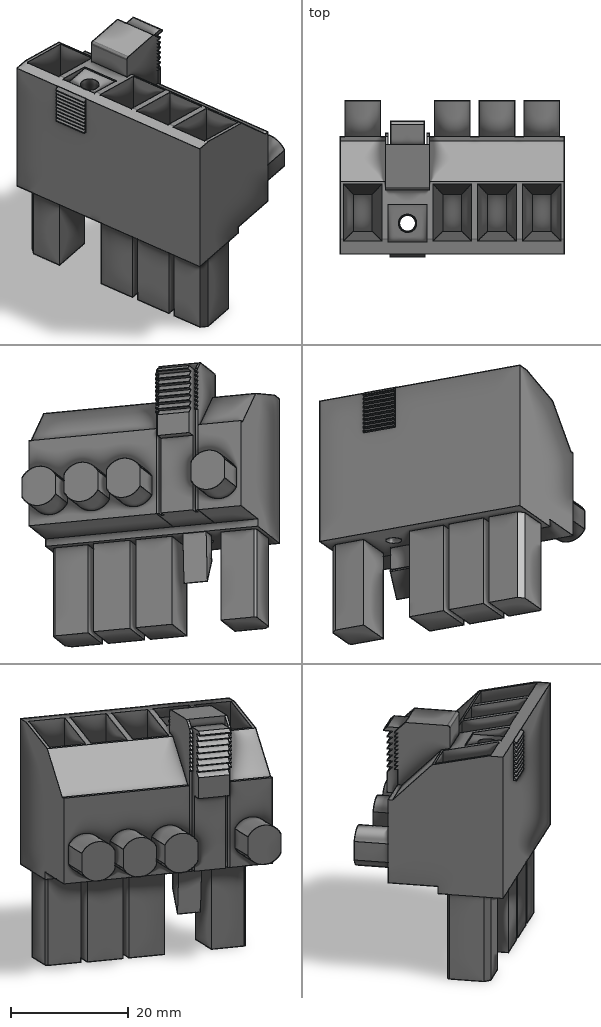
import cadquery as cq

PITCH = 7.6
LATCH_X = -PITCH
WIRE_POSITIONS = [-2 * PITCH, 0, PITCH, 2 * PITCH]

HOUSING_WIDTH = 38.1
HOUSING_DEPTH = 20.0
HOUSING_HEIGHT = 25.5
REAR_UNDERSIDE_Z = 1.3
UNDERSIDE_STEP_Y = 11.3
SHELF_Z = 16.3
SHELF_Y = 19.2
SLOPE_BREAK_Y = 12.35
SLOPE_BREAK_Z = 23.15
TOP_FLAT_Y = 2.55

WELL_WIDTH = 6.55
WELL_FRONT_Y = 2.25
WELL_BACK_Y = 11.95
WELL_TAPER_Z = 15.1
WELL_FLOOR_Z = 12.25
WELL_FLOOR_WIDTH = 3.2
WELL_FLOOR_FRONT_Y = 3.9
WELL_FLOOR_BACK_Y = 10.15

RECESS_FRONT_Y = 2.05
RECESS_LENGTH = 6.35
RECESS_FLOOR_Z = 23.8
HOLE_TOP_DIAMETER = 3.1
HOLE_BOTTOM_DIAMETER = 2.68

LEG_WIDTH = 6.5
LEG_LENGTH = 15.55
LEG_FRONT_Y = 2.5
LEG_BACK_Y = 10.2
OUTER_LEG_BACK_Y = 9.9
OUTER_LEG_EDGE_X = 18.3
OUTER_LEG_FRONT_CHAMFER = 0.95
OUTER_LEG_BACK_CHAMFER = 0.4

FINE_TOOTH_COUNT = 10
FINE_TOOTH_PITCH = 0.75
FINE_TOOTH_LAND = 0.15
GRIP_WIDTH = 5.95
GRIP_TOOTH_DEPTH = 0.5
GRIP_LOWEST_Z = 18.3
CHEEK_TOOTH_DEPTH = 0.55
CHEEK_LOWEST_Z = 19.0

LATCH_WIDTH = 7.42
LATCH_FRONT_Y = 10.9
LATCH_TOP_Z = 27.6
LATCH_TOP_FILLET = 0.45
LATCH_BEVEL_Y = 18.65
LATCH_BEVEL_Z = 26.3
CHEEK_THICKNESS = 0.45
BUTTON_WIDTH = 5.7
BUTTON_BACK_Y = 22.0
BUTTON_TOP_Z = 26.28
BUTTON_BOTTOM_Z = 14.45
BUTTON_LIP = 0.6
BUTTON_LIP_LAND = 0.17
BUTTON_NOTCH_COUNT = 7
BUTTON_NOTCH_PITCH = 1.1
BUTTON_NOTCH_DEPTH = 0.95
BUTTON_FIRST_NOTCH_Z = 25.55
TONGUE_BACK_Y = 20.15

HOOK_WIDTH = 4.2
HOOK_FRONT_Y = 8.2
HOOK_BACK_Y = 11.05
HOOK_ROOT_Z = 2.6
HOOK_TIP_Y = 10.45
HOOK_TIP_Z = -8.65
HOOK_NOSE_Y = 8.03
HOOK_NOSE_TOP_Z = -4.0
HOOK_NOSE_BOTTOM_Z = -4.35

SLEEVE_DIAMETER = 6.9
SLEEVE_WIDTH = 6.05
SLEEVE_LENGTH = 6.1
SLEEVE_Z = 6.35


def box(x_center, width, y_min, y_max, z_min, z_max):
    """Box centred on x_center, between two Y and two Z levels."""
    corner = (x_center - width / 2, y_min, z_min)
    return cq.Workplane("XY").box(width, y_max - y_min, z_max - z_min, centered=False).translate(corner)


def side_extrusion(points, x_center, width):
    """Extrude a closed (y, z) outline along X, centred on x_center."""
    outline = cq.Workplane("YZ").polyline(points).close()
    return outline.extrude(width / 2, both=True).translate((x_center, 0, 0))


def add_fine_teeth(body, x_center, width, face_y, outward, depth, lowest_z):
    """Add a column of saw teeth with flat undersides to a face; outward is the Y direction of the tips."""
    tip_y = face_y + outward * depth
    for index in range(FINE_TOOTH_COUNT):
        z = lowest_z + index * FINE_TOOTH_PITCH
        outline = [
            (face_y, z),
            (tip_y, z),
            (tip_y, z + FINE_TOOTH_LAND),
            (face_y, z + FINE_TOOTH_LAND + depth),
        ]
        body = body.union(side_extrusion(outline, x_center, width))
    return body


def well(x_center):
    straight = box(x_center, WELL_WIDTH, WELL_FRONT_Y, WELL_BACK_Y, WELL_TAPER_Z, HOUSING_HEIGHT)
    top_y = (WELL_FRONT_Y + WELL_BACK_Y) / 2
    floor_y = (WELL_FLOOR_FRONT_Y + WELL_FLOOR_BACK_Y) / 2
    taper = (
        cq.Workplane("XY", origin=(x_center, top_y, WELL_TAPER_Z))
        .rect(WELL_WIDTH, WELL_BACK_Y - WELL_FRONT_Y)
        .workplane(offset=WELL_FLOOR_Z - WELL_TAPER_Z)
        .center(0, floor_y - top_y)
        .rect(WELL_FLOOR_WIDTH, WELL_FLOOR_BACK_Y - WELL_FLOOR_FRONT_Y)
        .loft(ruled=True)
    )
    return straight.union(taper)


def inner_leg(x_center):
    return box(x_center, LEG_WIDTH, LEG_FRONT_Y, LEG_BACK_Y, -LEG_LENGTH, 0)


def outer_leg(side):
    """End leg with its outer corners chamfered; side is -1 for left and +1 for right."""
    inner_x = 2 * PITCH - LEG_WIDTH / 2
    width = OUTER_LEG_EDGE_X - inner_x
    leg = box(inner_x + width / 2, width, LEG_FRONT_Y, OUTER_LEG_BACK_Y, -LEG_LENGTH, 0)
    leg = leg.edges("|Z and >X and <Y").chamfer(OUTER_LEG_FRONT_CHAMFER)
    leg = leg.edges("|Z and >Y").edges(">X").chamfer(OUTER_LEG_BACK_CHAMFER)
    return leg if side > 0 else leg.mirror("YZ")


def hook():
    outline = [
        (HOOK_BACK_Y, HOOK_ROOT_Z),
        (HOOK_BACK_Y, 0),
        (HOOK_TIP_Y, HOOK_TIP_Z),
        (HOOK_NOSE_Y, HOOK_NOSE_BOTTOM_Z),
        (HOOK_NOSE_Y, HOOK_NOSE_TOP_Z),
        (HOOK_FRONT_Y, HOOK_NOSE_TOP_Z),
        (HOOK_FRONT_Y, HOOK_ROOT_Z),
    ]
    return side_extrusion(outline, LATCH_X, HOOK_WIDTH)


def recess_and_hole():
    """Square recess with a tapered hole from its floor to the underside."""
    recess_back_y = RECESS_FRONT_Y + RECESS_LENGTH
    recess = box(LATCH_X, WELL_WIDTH, RECESS_FRONT_Y, recess_back_y, RECESS_FLOOR_Z, HOUSING_HEIGHT)
    hole = (
        cq.Workplane("XY", origin=(LATCH_X, RECESS_FRONT_Y + RECESS_LENGTH / 2, 0))
        .circle(HOLE_BOTTOM_DIAMETER / 2)
        .workplane(offset=RECESS_FLOOR_Z)
        .circle(HOLE_TOP_DIAMETER / 2)
        .loft()
    )
    return recess.union(hole)


def make_housing():
    outline = [
        (0, 0),
        (UNDERSIDE_STEP_Y, 0),
        (UNDERSIDE_STEP_Y, REAR_UNDERSIDE_Z),
        (HOUSING_DEPTH, REAR_UNDERSIDE_Z),
        (HOUSING_DEPTH, SHELF_Z),
        (SHELF_Y, SHELF_Z),
        (SLOPE_BREAK_Y, SLOPE_BREAK_Z),
        (TOP_FLAT_Y, HOUSING_HEIGHT),
        (0, HOUSING_HEIGHT),
    ]
    body = side_extrusion(outline, 0, HOUSING_WIDTH)
    for x in WIRE_POSITIONS:
        body = body.cut(well(x))
    body = body.cut(recess_and_hole())

    slot = box(LATCH_X, LATCH_WIDTH, LATCH_FRONT_Y, HOUSING_DEPTH, REAR_UNDERSIDE_Z, HOUSING_HEIGHT)
    body = body.cut(slot).cut(hook())

    for x in (0, PITCH):
        body = body.union(inner_leg(x))
    for side in (-1, 1):
        body = body.union(outer_leg(side))

    return add_fine_teeth(body, LATCH_X, GRIP_WIDTH, 0, -1, GRIP_TOOTH_DEPTH, GRIP_LOWEST_Z)


def latch_button():
    """Push button with coarse saw notches down its back and a lip along its top."""
    lip_y = BUTTON_BACK_Y + BUTTON_LIP
    outline = [
        (LATCH_BEVEL_Y, BUTTON_BOTTOM_Z),
        (LATCH_BEVEL_Y, BUTTON_TOP_Z),
        (BUTTON_BACK_Y, BUTTON_TOP_Z),
        (lip_y, BUTTON_FIRST_NOTCH_Z + BUTTON_LIP_LAND),
        (lip_y, BUTTON_FIRST_NOTCH_Z),
    ]
    for index in range(BUTTON_NOTCH_COUNT):
        z = BUTTON_FIRST_NOTCH_Z - index * BUTTON_NOTCH_PITCH
        if index > 0:
            outline.append((BUTTON_BACK_Y, z))
        outline.append((BUTTON_BACK_Y - BUTTON_NOTCH_DEPTH, z))
        outline.append((BUTTON_BACK_Y, z - BUTTON_NOTCH_DEPTH))
    outline.append((BUTTON_BACK_Y, BUTTON_BOTTOM_Z))
    return side_extrusion(outline, LATCH_X, BUTTON_WIDTH)


def make_latch():
    outline = [
        (LATCH_FRONT_Y, REAR_UNDERSIDE_Z),
        (HOUSING_DEPTH, REAR_UNDERSIDE_Z),
        (HOUSING_DEPTH, LATCH_BEVEL_Z),
        (LATCH_BEVEL_Y, LATCH_TOP_Z),
        (LATCH_FRONT_Y, LATCH_TOP_Z),
    ]
    body = side_extrusion(outline, LATCH_X, LATCH_WIDTH)
    body = body.edges("|X and >Z and <Y").fillet(LATCH_TOP_FILLET)

    channel_width = LATCH_WIDTH - 2 * CHEEK_THICKNESS
    body = body.cut(
        box(LATCH_X, channel_width, LATCH_BEVEL_Y, HOUSING_DEPTH, REAR_UNDERSIDE_Z, LATCH_TOP_Z)
    )
    tongue = box(
        LATCH_X, BUTTON_WIDTH, LATCH_BEVEL_Y, TONGUE_BACK_Y, REAR_UNDERSIDE_Z, BUTTON_BOTTOM_Z
    )
    body = body.union(tongue).union(latch_button()).union(hook())

    for side in (-1, 1):
        cheek_x = LATCH_X + side * (LATCH_WIDTH - CHEEK_THICKNESS) / 2
        body = add_fine_teeth(
            body, cheek_x, CHEEK_THICKNESS, HOUSING_DEPTH, 1, CHEEK_TOOTH_DEPTH, CHEEK_LOWEST_Z
        )
    return body


def make_sleeve(x_center):
    radius = SLEEVE_DIAMETER / 2
    back_y = HOUSING_DEPTH + SLEEVE_LENGTH
    bar = cq.Workplane("XZ", origin=(x_center, back_y, SLEEVE_Z)).circle(radius).extrude(SLEEVE_LENGTH)
    between_flats = box(
        x_center, SLEEVE_WIDTH, HOUSING_DEPTH, back_y, SLEEVE_Z - radius, SLEEVE_Z + radius
    )
    return bar.intersect(between_flats)


housing = make_housing()
latch = make_latch()
sleeves = [make_sleeve(x) for x in WIRE_POSITIONS]

result = cq.Compound.makeCompound([housing.val(), latch.val(), *[sleeve.val() for sleeve in sleeves]])